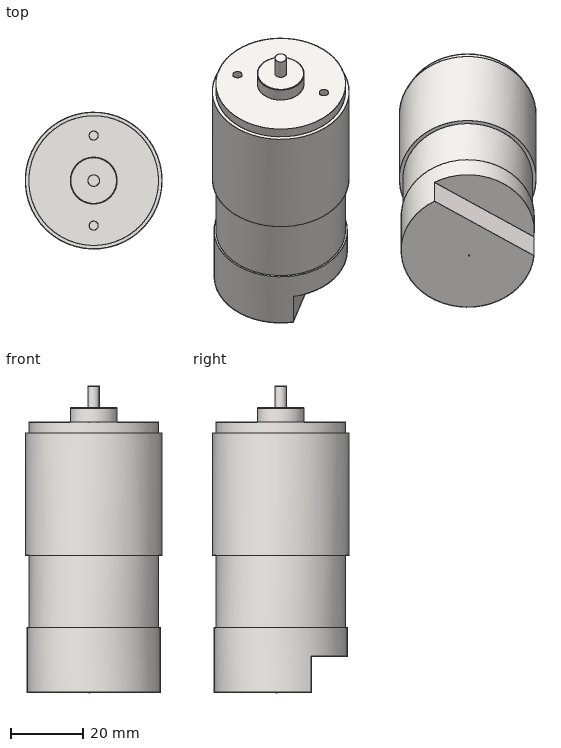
import cadquery as cq

END_CAP_DIAMETER = 37.0
END_CAP_HEIGHT = 18.0
MOTOR_DIAMETER = 36.0
MOTOR_HEIGHT = 20.0
GEARBOX_DIAMETER = 38.0
GEARBOX_HEIGHT = 34.0
FACE_PLATE_DIAMETER = 36.0
FACE_PLATE_HEIGHT = 3.0
BOSS_DIAMETER = 13.0
BOSS_HEIGHT = 4.0
BOSS_CHAMFER = 0.15
SHAFT_DIAMETER = 3.2
SHAFT_HEIGHT = 6.0

PIP_DIAMETER = 0.2
PIP_HEIGHT = 0.19
PIP_X = -1.15
PIP_Y = -1.15

STEP_DEPTH = 10.0
STEP_Y = 8.5

HOLE_DIAMETER = 2.5
HOLE_SPACING = 25.0
HOLE_DEPTH = FACE_PLATE_HEIGHT

BODY_TOP = END_CAP_HEIGHT + MOTOR_HEIGHT + GEARBOX_HEIGHT + FACE_PLATE_HEIGHT


def stacked_cylinders():
    """Concentric cylinders, each standing on the one below it."""
    sections = [
        (END_CAP_DIAMETER, END_CAP_HEIGHT),
        (MOTOR_DIAMETER, MOTOR_HEIGHT),
        (GEARBOX_DIAMETER, GEARBOX_HEIGHT),
        (FACE_PLATE_DIAMETER, FACE_PLATE_HEIGHT),
        (BOSS_DIAMETER, BOSS_HEIGHT),
        (SHAFT_DIAMETER, SHAFT_HEIGHT),
    ]
    body = cq.Workplane("XY")
    base = 0.0
    for diameter, height in sections:
        cylinder = cq.Workplane("XY").workplane(offset=base).circle(diameter / 2).extrude(height)
        body = body.union(cylinder)
        base += height
    return body


def end_cap_step():
    """Block removed from the lower +Y side of the end cap, starting at STEP_Y."""
    return (
        cq.Workplane("XY")
        .center(0, STEP_Y + END_CAP_DIAMETER / 2)
        .rect(END_CAP_DIAMETER, END_CAP_DIAMETER)
        .extrude(STEP_DEPTH)
    )


def mounting_holes():
    """Two blind holes on the Y axis, drilled down from the face plate."""
    return (
        cq.Workplane("XY")
        .workplane(offset=BODY_TOP)
        .pushPoints([(0, -HOLE_SPACING / 2), (0, HOLE_SPACING / 2)])
        .circle(HOLE_DIAMETER / 2)
        .extrude(-HOLE_DEPTH)
    )


def boss_chamfer(body):
    """Small bevel around the top rim of the boss."""
    rim = body.faces(">Z[-2]").edges(cq.selectors.RadiusNthSelector(-1))
    return rim.chamfer(BOSS_CHAMFER)


def bottom_pip():
    """Tiny round pip standing proud of the end cap's bottom face."""
    return cq.Workplane("XY").center(PIP_X, PIP_Y).circle(PIP_DIAMETER / 2).extrude(-PIP_HEIGHT)


body = stacked_cylinders().cut(end_cap_step()).cut(mounting_holes())
result = boss_chamfer(body).union(bottom_pip())